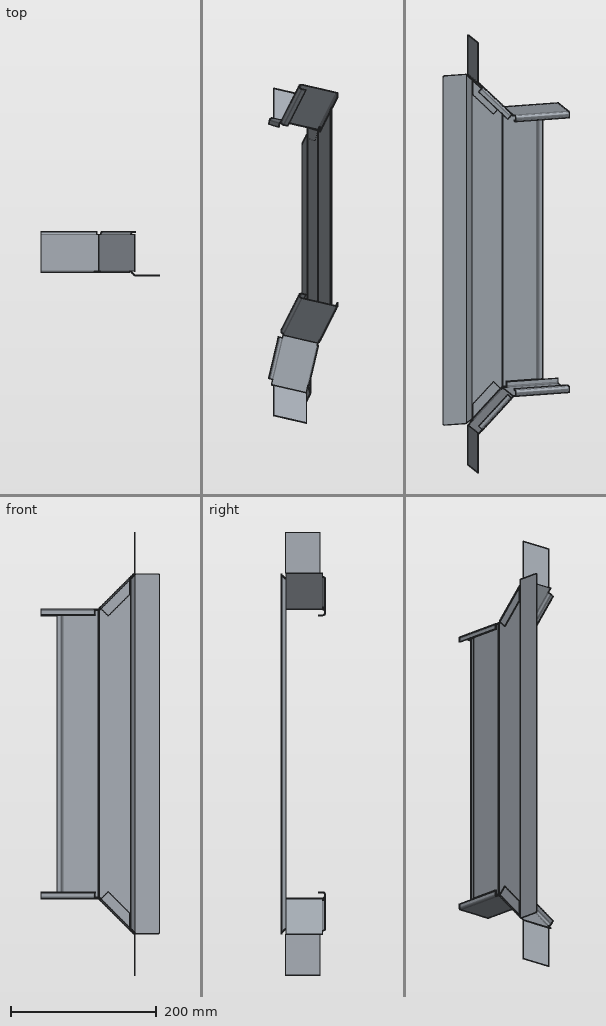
import cadquery as cq
import math

thickness = 1.25
front_inner_radius = 1.0
front_outer_radius = front_inner_radius + thickness
back_inner_radius = 2.75
back_outer_radius = back_inner_radius + thickness

total_width = 163.29
total_height = 608.16

bracket_depth = 56.6
level_height = 199.0
knee_x = 79.3
tab_x = 128.4
incline = 45.0
incline_rise = tab_x - knee_x
incline_length = incline_rise / math.cos(math.radians(incline))
tab_back = 7.5
tab_front = 55.0
lip_length = 10.0

level_front_end = 73.5
level_front_drop = 8.0
level_back_end = 77.0
level_back_drop = 9.5

incline_front_start = 2.5
incline_front_drop = 16.3
incline_front_end_x = 122.0
incline_back_start = 3.5
incline_back_end = incline_length - 7.0

strip_front = 61.25
flush_front = bracket_depth
recessed_front = bracket_depth - thickness
panel_left = 22.2
edge_joggle_x = 29.2
edge_joggle_depth = thickness
edge_bend_inner = 1.25
knee_joggle_x = 79.2
raised_joggle_x = 123.2
strip_half_height = 247.0
strip_corner = 1.5
panel_gap = 1.0
flush_half_height = level_height - level_front_drop - panel_gap
panel_edge_offset = front_outer_radius
flush_step_x = level_front_end + panel_gap


def parallel_line(points, offset):
    """Open polyline parallel to another one; a positive offset lies on its right-hand side."""
    headings = [math.atan2(b[1] - a[1], b[0] - a[0]) for a, b in zip(points, points[1:])]
    shifted = []
    for index, (u, v) in enumerate(points):
        before = headings[max(index - 1, 0)]
        after = headings[min(index, len(headings) - 1)]
        bisector = (before + after) / 2
        reach = offset / math.cos((after - before) / 2)
        shifted.append((u + reach * math.sin(bisector), v - reach * math.cos(bisector)))
    return shifted


def front_flange(start, end, drop):
    """Bend and flange along the front edge of a plate whose outer face is Z = 0."""
    front = -bracket_depth
    profile = (
        cq.Workplane("YZ", origin=(start, 0, 0))
        .moveTo(front + front_outer_radius, 0)
        .radiusArc((front, -front_outer_radius), -front_outer_radius)
        .lineTo(front, -drop)
        .lineTo(front + thickness, -drop)
        .lineTo(front + thickness, -front_outer_radius)
        .radiusArc((front + front_outer_radius, -thickness), front_inner_radius)
        .close()
    )
    return profile.extrude(end - start)


def back_flange(start, end, drop):
    """Bend and flange along the rear edge of a plate whose outer face is Z = 0."""
    profile = (
        cq.Workplane("YZ", origin=(start, 0, 0))
        .moveTo(-back_outer_radius, 0)
        .radiusArc((0, -back_outer_radius), back_outer_radius)
        .lineTo(0, -drop)
        .lineTo(-thickness, -drop)
        .lineTo(-thickness, -back_outer_radius)
        .radiusArc((-back_outer_radius, -thickness), -back_inner_radius)
        .close()
    )
    return profile.extrude(end - start)


def back_flange_with_lip(start, end, drop):
    """Rear flange that turns forward again into a lip."""
    turn = back_outer_radius - drop
    flange = back_flange(start, end, -turn)
    lip = (
        cq.Workplane("YZ", origin=(start, 0, 0))
        .moveTo(0, turn)
        .radiusArc((-back_outer_radius, -drop), back_outer_radius)
        .lineTo(-lip_length, -drop)
        .lineTo(-lip_length, thickness - drop)
        .lineTo(-back_outer_radius, thickness - drop)
        .radiusArc((-thickness, turn), -back_inner_radius)
        .close()
        .extrude(end - start)
    )
    return flange.union(lip)


def onto_incline(shape):
    """Move a shape built along X from the origin onto the inclined plate."""
    return shape.rotate((0, 0, 0), (0, 1, 0), -incline).translate((knee_x, 0, level_height))


def span_between(outline, back, front):
    """Solid with an XZ outline, reaching from the back depth to the front depth."""
    return cq.Workplane("XZ", origin=(0, -back, 0)).polyline(outline).close().extrude(front - back)


def make_upper_bracket():
    tab_foot = level_height + incline_rise
    path = [(0, level_height), (knee_x, level_height), (tab_x, tab_foot), (tab_x, total_height / 2)]
    underside = parallel_line(path, thickness)
    outline = path + underside[::-1]

    below_tab = cq.Workplane("XY").box(
        total_width, bracket_depth, tab_foot, centered=False).translate((0, -bracket_depth, 0))
    above_plates = below_tab.translate((0, 0, tab_foot))
    plates = span_between(outline, back_outer_radius, bracket_depth - front_outer_radius).intersect(below_tab)
    tab = span_between(outline, tab_back, tab_front).intersect(above_plates)

    level_front = front_flange(0, level_front_end, level_front_drop)
    level_back = back_flange_with_lip(0, level_back_end, level_back_drop)
    level_flanges = level_front.union(level_back).translate((0, 0, level_height))

    left_of_cut = cq.Workplane("XY").box(
        incline_front_end_x, bracket_depth, tab_foot, centered=False).translate((0, -bracket_depth, 0))
    incline_front = onto_incline(front_flange(incline_front_start, incline_length, incline_front_drop))
    incline_front = incline_front.intersect(left_of_cut)
    incline_back = onto_incline(back_flange(incline_back_start, incline_back_end, level_back_drop))

    return plates.union(tab).union(level_flanges).union(incline_front).union(incline_back)


def make_panel():
    edge_front = flush_front - edge_joggle_depth
    raise_depth = strip_front - recessed_front
    front_line = [
        (panel_left, -edge_front),
        (edge_joggle_x - edge_joggle_depth, -edge_front),
        (edge_joggle_x, -flush_front),
        (knee_joggle_x, -flush_front),
        (knee_joggle_x + thickness, -recessed_front),
        (raised_joggle_x, -recessed_front),
        (raised_joggle_x + raise_depth, -strip_front),
        (total_width, -strip_front),
    ]
    rear_line = parallel_line(front_line, -thickness)
    blank = (
        cq.Workplane("XY", origin=(0, 0, -strip_half_height))
        .polyline(front_line + rear_line[::-1]).close().extrude(2 * strip_half_height)
    )

    edge_bend_outer = edge_bend_inner + thickness
    edge_bends = [
        (front_line[1], edge_bend_inner),
        (rear_line[1], edge_bend_outer),
        (front_line[2], edge_bend_outer),
        (rear_line[2], edge_bend_inner),
    ]
    for corner, radius in edge_bends:
        nearest = cq.selectors.NearestToPointSelector((*corner, 0))
        blank = blank.edges("|Z").edges(nearest).fillet(radius)

    shoulder_height = level_height - panel_edge_offset
    incline_start_x = knee_x + panel_edge_offset * math.tan(math.radians(incline / 2))
    incline_end_x = incline_start_x + strip_half_height - shoulder_height
    upper_edge = [
        (panel_left, flush_half_height),
        (flush_step_x, flush_half_height),
        (flush_step_x, shoulder_height),
        (incline_start_x, shoulder_height),
        (incline_end_x, strip_half_height),
        (total_width - strip_corner, strip_half_height),
        (total_width, strip_half_height - strip_corner),
    ]
    lower_edge = [(x, -z) for x, z in reversed(upper_edge)]
    outline = cq.Workplane("XZ").polyline(upper_edge + lower_edge).close().extrude(strip_front)
    return blank.intersect(outline)


panel = make_panel()
upper_bracket = make_upper_bracket()
brackets = [upper_bracket, upper_bracket.mirror("XY")]

result = cq.Compound.makeCompound([panel.val(), *[bracket.val() for bracket in brackets]])